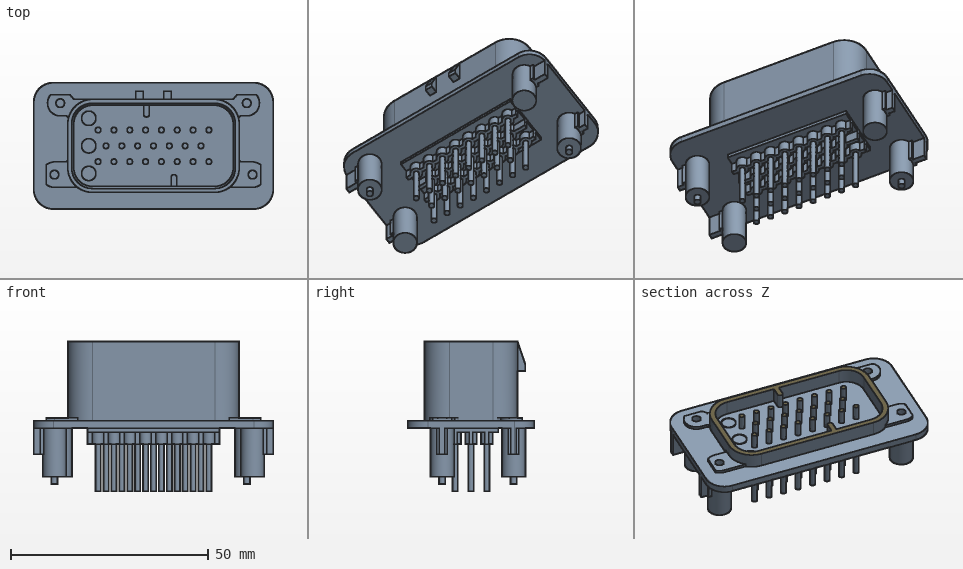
import cadquery as cq
import math


flange_length = 60.8
flange_width = 32.1
flange_thickness = 1.9
flange_corner_radius = 5.05

shroud_length = 43.5
shroud_width = 23.6
shroud_top = 22.0
shroud_corner_radius = 6.25
rim_wall = 1.0
inner_wall = 1.5
lead_in_depth = 1.8
cavity_floor = flange_thickness
shroud_back = shroud_width / 2
shroud_side = shroud_length / 2
cavity_back = shroud_back - inner_wall
cavity_corner_radius = shroud_corner_radius - inner_wall

pin_pitch = 4.0
row_spacing = pin_pitch
pin_diameter = 1.4
pin_top = 9.6
pin_bottom = -16.05
pin_rows = [(row_spacing, 8), (0.0, 7), (-row_spacing, 8)]

base_length = 33.5
base_width = 13.85
base_bottom = -1.1
rail_width = 1.0
rail_bottom = -4.1
collar_diameter = 3.05

key_width = 1.45
key_top = 12.15
key_reach = 3.0
back_key_x = -1.75
front_key_x = 5.15
wedge_width = 1.95
wedge_offset = 3.6
wedge_projection = 2.0
wedge_bottom = 14.5
wedge_edge_height = 1.7

marker_diameter = 3.65
marker_depth = 0.2
marker_x = -16.4
marker_spacing = 7.0

back_post_x, back_post_y = 23.65, 10.8
front_post_x, front_post_y = 25.1, -7.3
post_diameter = 6.0
post_bottom = -12.35
peg_diameter = 1.65
peg_bottom = -14.2
fin_width = 1.4
fin_block_width = 2.7
fin_block_reach = 3.6
fin_bottom = -6.6
pad_radius = 3.2
pad_height = 0.7
pad_top = flange_thickness + pad_height
pad_fillet = 0.65
pad_hole_diameter = 2.2
back_pad_edge_y = 13.0
back_pad_shoulder_x = 21.2
back_pad_neck_x = 20.2
front_pad_edge_x = 27.25


def block(x_min, x_max, y_min, y_max, z_min, z_max):
    """Box given by its limits along each axis."""
    size = (x_max - x_min, y_max - y_min, z_max - z_min)
    return cq.Workplane("XY").box(*size, centered=False).translate((x_min, y_min, z_min))


def rod(x, y, diameter, z_min, z_max):
    """Upright cylinder."""
    return cq.Workplane("XY", origin=(x, y, z_min)).circle(diameter / 2).extrude(z_max - z_min)


def rounded_block(length, width, radius, z_min, z_max):
    """Centred box with rounded upright edges."""
    plate = cq.Workplane("XY", origin=(0, 0, z_min)).rect(length, width).extrude(z_max - z_min)
    return plate.edges("|Z").fillet(radius)


def both_sides(body):
    """The body together with its mirror image across X = 0."""
    return body.union(body.mirror("YZ"))


def flange():
    return rounded_block(flange_length, flange_width, flange_corner_radius, 0, flange_thickness)


def shroud_outline(inset, z):
    """Shroud outline moved inward by inset, at height z."""
    outline = cq.Sketch().rect(shroud_length - 2 * inset, shroud_width - 2 * inset)
    outline = outline.vertices().fillet(shroud_corner_radius - inset)
    return outline.moved(cq.Location(cq.Vector(0, 0, z)))


def cavity():
    straight = rounded_block(
        shroud_length - 2 * inner_wall,
        shroud_width - 2 * inner_wall,
        cavity_corner_radius,
        cavity_floor,
        shroud_top,
    )
    lower = shroud_outline(inner_wall, shroud_top - lead_in_depth)
    upper = shroud_outline(rim_wall, shroud_top)
    lead_in = cq.Workplane("XY").placeSketch(lower, upper).loft()
    return straight.union(lead_in)


def back_pad():
    """Round pad with a flat back edge, sloping into the back face of the shroud."""
    disc = rod(-back_post_x, back_post_y, 2 * pad_radius, 0, pad_top)
    disc = disc.intersect(block(-flange_length, 0, 0, back_pad_edge_y, 0, pad_top))
    flat_reach = math.sqrt(pad_radius**2 - (back_pad_edge_y - back_post_y) ** 2)
    inner_x = -shroud_side + shroud_corner_radius
    web = (
        cq.Workplane("XY")
        .moveTo(-back_post_x - flat_reach, back_pad_edge_y)
        .lineTo(-back_pad_shoulder_x, back_pad_edge_y)
        .lineTo(-back_pad_neck_x, shroud_back)
        .lineTo(inner_x, shroud_back)
        .lineTo(inner_x, back_post_y - pad_radius)
        .lineTo(-back_post_x, back_post_y - pad_radius)
        .close()
        .extrude(pad_top)
    )
    return disc.union(web)


def front_pad():
    """Round-ended pad with a flat outer end, running straight into the shroud."""
    y_min = front_post_y - pad_radius
    y_max = front_post_y + pad_radius
    inner_x = -shroud_side + shroud_corner_radius
    disc = rod(-front_post_x, front_post_y, 2 * pad_radius, 0, pad_top)
    web = block(-front_post_x, inner_x, y_min, y_max, 0, pad_top)
    limit = block(-front_pad_edge_x, 0, y_min, y_max, 0, pad_top)
    return disc.union(web).intersect(limit)


def pad_corners(body):
    """Round the inner corners where the pads run into the ends of the shroud."""
    search_x = 1.2
    search_y = 0.3
    for y in (back_post_y - pad_radius, front_post_y + pad_radius):
        for side in (-1, 1):
            x = side * shroud_side
            corner = cq.selectors.BoxSelector(
                (x - search_x, y - search_y, flange_thickness),
                (x + search_x, y + search_y, pad_top),
            )
            body = body.edges("|Z").edges(corner).fillet(pad_fillet)
    return body


def housing():
    shell = rounded_block(shroud_length, shroud_width, shroud_corner_radius, 0, shroud_top)
    shell = shell.union(both_sides(back_pad().union(front_pad())))
    shell = shell.union(flange())
    return pad_corners(shell).cut(cavity())


def key(x, side):
    """Round-nosed rib on the inside of the back (side = 1) or front (side = -1) wall."""
    nose_y = side * (cavity_back - key_reach + key_width / 2)
    y_min, y_max = sorted((nose_y, side * (cavity_back + inner_wall / 2)))
    rib = block(x - key_width / 2, x + key_width / 2, y_min, y_max, 0, key_top)
    return rib.union(rod(x, nose_y, key_width, 0, key_top))


def latch_wedge():
    """Latch catch on the back of the shroud, sloping outward from the rim."""
    outer_y = shroud_back + wedge_projection
    root_y = shroud_back - rim_wall / 2
    profile = [
        (root_y, shroud_top),
        (shroud_back, shroud_top),
        (outer_y, wedge_bottom + wedge_edge_height),
        (outer_y, wedge_bottom),
        (root_y, wedge_bottom),
    ]
    start_x = wedge_offset - wedge_width / 2
    wedge = cq.Workplane("YZ").polyline(profile).close().extrude(wedge_width)
    return wedge.translate((start_x, 0, 0))


def post(x, y):
    """Mounting post with a T-shaped fin reaching the end of the flange."""
    block_x = x - fin_block_reach
    fin_edge = -flange_length / 2
    body = rod(x, y, post_diameter, post_bottom, 0)
    thick = block(block_x, x, y - fin_block_width / 2, y + fin_block_width / 2, fin_bottom, 0)
    thin = block(fin_edge, x, y - fin_width / 2, y + fin_width / 2, fin_bottom, 0)
    outline = rounded_block(flange_length, flange_width, flange_corner_radius, fin_bottom, 0)
    return body.union(thick).union(thin.intersect(outline))


def base():
    half_length = base_length / 2
    half_width = base_width / 2
    half_rail = rail_width / 2
    body = block(-half_length, half_length, -half_width, half_width, base_bottom, 0)
    for y, _ in pin_rows:
        body = body.union(block(-half_length, half_length, y - half_rail, y + half_rail, rail_bottom, 0))
    return body


def pin_positions():
    return [
        ((index - (count - 1) / 2) * pin_pitch, y)
        for y, count in pin_rows
        for index in range(count)
    ]


def upright_set(points, diameter, z_min, z_max):
    """Equal upright cylinders at every point."""
    plane = cq.Workplane("XY", origin=(0, 0, z_min))
    return plane.pushPoints(points).circle(diameter / 2).extrude(z_max - z_min)


left_posts = [(-back_post_x, back_post_y), (-front_post_x, front_post_y)]
markers = [(marker_x, row * marker_spacing) for row in (-1, 0, 1)]
pegs = [(-front_post_x, front_post_y), (back_post_x, back_post_y)]

result = housing()
result = result.union(key(back_key_x, 1)).union(key(front_key_x, -1))
result = result.union(both_sides(latch_wedge()))
result = result.union(base())
for x, y in left_posts:
    result = result.union(both_sides(post(x, y)))
result = result.union(upright_set(pegs, peg_diameter, peg_bottom, 0))
result = result.cut(both_sides(upright_set(left_posts, pad_hole_diameter, 0, pad_top)))
result = result.cut(upright_set(markers, marker_diameter, cavity_floor - marker_depth, cavity_floor))
result = result.union(upright_set(pin_positions(), collar_diameter, rail_bottom, 0))
result = result.union(upright_set(pin_positions(), pin_diameter, pin_bottom, pin_top))